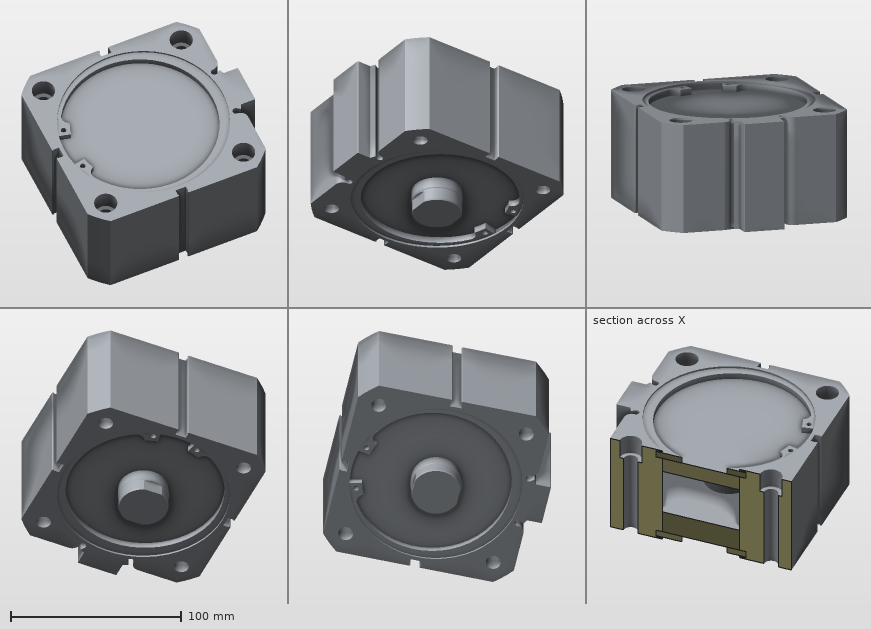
import cadquery as cq
import math

BODY_SIDE = 115.0
BODY_HEIGHT = 65.0
CORNER_RADIUS = 74.4
OVERALL_Y = 124.0

BOLT_SPACING = 88.9
BOLT_HOLE_DIAMETER = 8.8
COUNTERBORE_DIAMETER = 13.6
COUNTERBORE_DEPTH = 12.4

SLOT_DEPTH = 4.5
SLOT_WIDTH = 6.7
SLOT_LIP = 0.9
SLOT_MOUTH = 5.5
SLOT_MOUTH_CHAMFER = 0.5

RAIL_WIDTH = 24.8
RAIL_EDGE_CHAMFER = 0.4
RAIL_BARB_X = 15.4
RAIL_BARB_DROP = 1.6
RELIEF_X = 15.4
RELIEF_RADIUS = 2.0
RELIEF_TANGENT_ANGLE = 150
SHOULDER_RADIUS = 4.8

BORE_RADIUS = 50.8
GROOVE_RADIUS = 52.8
GROOVE_INSET = 1.2
GROOVE_WIDTH = 4.2
RING_THICKNESS = 4.0

RING_INNER_RADIUS = 46.7
RING_INNER_OFFSET = 2.2
RING_GAP_HALF_ANGLE = 12.8
LUG_INNER_RADIUS = 43.4
LUG_RELIEF_RADIUS = 4.8
LUG_RELIEF_ANGLE = 31.4
LUG_HOLE_RADIUS = 47.2
LUG_HOLE_ANGLE = 17.3
LUG_HOLE_DIAMETER = 3.2
HEAD_RING_TURN = -0.75

HEAD_COVER_THICKNESS = 9.9
ROD_COVER_THICKNESS = 14.9

ROD_RADIUS = 15.0
ROD_FULL_LENGTH = 1.4
ROD_TIP_RADIUS = 14.8
ROD_STEP_HEIGHT = 0.43
ROD_EXTENSION = 10.0
ROD_FLAT_DISTANCE = 13.5
ROD_FLAT_LENGTH = 7.2
ROD_FLAT_RUNOUT_ANGLE = 30
ROD_CHAMFER_HEIGHT = 0.9
ROD_CHAMFER_WIDTH = 0.31

HALF_SIDE = BODY_SIDE / 2
CORNER_FLAT = math.sqrt(CORNER_RADIUS**2 - HALF_SIDE**2)
RAIL_TOP = OVERALL_Y - HALF_SIDE
COVER_INSET = GROOVE_INSET + GROOVE_WIDTH
HEAD_COVER_BOTTOM = BODY_HEIGHT - COVER_INSET - HEAD_COVER_THICKNESS


def polar(radius, angle, center=(0, 0)):
    """Point at an angle in degrees, counter-clockwise from +X."""
    turn = math.radians(angle)
    return (center[0] + radius * math.cos(turn), center[1] + radius * math.sin(turn))


def cylinder(radius, bottom, height):
    return cq.Workplane("XY").workplane(offset=bottom).circle(radius).extrude(height)


def rail_side(side):
    """Undercut and rail flank from the housing face up to the rail, at X sign `side`."""
    relief_y = HALF_SIDE - SHOULDER_RADIUS
    relief = (RELIEF_X, relief_y)
    wall_x = RELIEF_X + RELIEF_RADIUS
    shoulder = (wall_x + SHOULDER_RADIUS, relief_y)
    points = {
        "shoulder_top": (shoulder[0], HALF_SIDE),
        "shoulder_middle": polar(SHOULDER_RADIUS, 135, shoulder),
        "wall": (wall_x, relief_y),
        "relief_bottom": (RELIEF_X, relief_y - RELIEF_RADIUS),
        "relief_end": polar(RELIEF_RADIUS, RELIEF_TANGENT_ANGLE, relief),
        "barb": (RAIL_BARB_X, HALF_SIDE - RAIL_BARB_DROP),
        "rail_foot": (RAIL_WIDTH / 2, HALF_SIDE),
        "rail_side_top": (RAIL_WIDTH / 2, RAIL_TOP - RAIL_EDGE_CHAMFER),
        "rail_top": (RAIL_WIDTH / 2 - RAIL_EDGE_CHAMFER, RAIL_TOP),
    }
    return {name: (side * x, y) for name, (x, y) in points.items()}


def housing_blank():
    right = rail_side(1)
    left = rail_side(-1)
    corner_middle = [polar(CORNER_RADIUS, angle) for angle in (45, 135, 225, 315)]
    return (
        cq.Workplane("XY")
        .moveTo(HALF_SIDE, CORNER_FLAT)
        .threePointArc(corner_middle[0], (CORNER_FLAT, HALF_SIDE))
        .lineTo(*right["shoulder_top"])
        .threePointArc(right["shoulder_middle"], right["wall"])
        .threePointArc(right["relief_bottom"], right["relief_end"])
        .lineTo(*right["barb"])
        .lineTo(*right["rail_foot"])
        .lineTo(*right["rail_side_top"])
        .lineTo(*right["rail_top"])
        .lineTo(*left["rail_top"])
        .lineTo(*left["rail_side_top"])
        .lineTo(*left["rail_foot"])
        .lineTo(*left["barb"])
        .lineTo(*left["relief_end"])
        .threePointArc(left["relief_bottom"], left["wall"])
        .threePointArc(left["shoulder_middle"], left["shoulder_top"])
        .lineTo(-CORNER_FLAT, HALF_SIDE)
        .threePointArc(corner_middle[1], (-HALF_SIDE, CORNER_FLAT))
        .lineTo(-HALF_SIDE, -CORNER_FLAT)
        .threePointArc(corner_middle[2], (-CORNER_FLAT, -HALF_SIDE))
        .lineTo(CORNER_FLAT, -HALF_SIDE)
        .threePointArc(corner_middle[3], (HALF_SIDE, -CORNER_FLAT))
        .close()
        .extrude(BODY_HEIGHT)
    )


def sensor_slot(angle):
    """Lipped slot along Z, cut into the side that faces `angle`."""
    floor_x = HALF_SIDE - SLOT_DEPTH
    lip_x = HALF_SIDE - SLOT_LIP
    chamfer_x = HALF_SIDE - SLOT_MOUTH_CHAMFER
    half_mouth = SLOT_MOUTH / 2
    upper_half = [
        (floor_x, SLOT_WIDTH / 2),
        (lip_x, SLOT_WIDTH / 2),
        (lip_x, half_mouth),
        (chamfer_x, half_mouth),
        (HALF_SIDE, half_mouth + SLOT_MOUTH_CHAMFER),
    ]
    lower_half = [(x, -y) for x, y in reversed(upper_half)]
    slot = cq.Workplane("XY").polyline(upper_half + lower_half).close().extrude(BODY_HEIGHT)
    return slot.rotate((0, 0, 0), (0, 0, 1), angle)


def make_housing():
    housing = housing_blank()
    for angle in (0, 180, 270):
        housing = housing.cut(sensor_slot(angle))
    housing = (
        housing.faces(">Z")
        .workplane(origin=(0, 0, BODY_HEIGHT))
        .rect(BOLT_SPACING, BOLT_SPACING, forConstruction=True)
        .vertices()
        .cboreHole(BOLT_HOLE_DIAMETER, COUNTERBORE_DIAMETER, COUNTERBORE_DEPTH)
    )
    housing = housing.cut(cylinder(BORE_RADIUS, 0, BODY_HEIGHT))
    for bottom in (GROOVE_INSET, BODY_HEIGHT - COVER_INSET):
        housing = housing.cut(cylinder(GROOVE_RADIUS, bottom, GROOVE_WIDTH))
    return housing


def sector(radius, half_angle):
    """Pie slice about -Y, as thick as the ring."""
    return (
        cq.Workplane("XY")
        .lineTo(*polar(radius, 270 - half_angle))
        .threePointArc((0, -radius), polar(radius, 270 + half_angle))
        .close()
        .extrude(RING_THICKNESS)
    )


def make_retaining_ring(bottom, turn):
    """Open ring with two drilled lugs beside a gap at -Y."""
    inner_center = (0, -RING_INNER_OFFSET)
    relief_distance = RING_INNER_RADIUS - LUG_RELIEF_RADIUS
    relief_centers = [
        polar(relief_distance, 270 + side * LUG_RELIEF_ANGLE, inner_center) for side in (-1, 1)
    ]
    hole_centers = [polar(LUG_HOLE_RADIUS, 270 + side * LUG_HOLE_ANGLE) for side in (-1, 1)]
    relief_x, relief_y = relief_centers[1]
    lug_half_angle = math.degrees(math.atan2(relief_x, -relief_y))

    ring = (
        cq.Workplane("XY")
        .circle(GROOVE_RADIUS)
        .moveTo(*inner_center)
        .circle(RING_INNER_RADIUS)
        .extrude(RING_THICKNESS)
    )
    lugs = sector(GROOVE_RADIUS, lug_half_angle).cut(cylinder(LUG_INNER_RADIUS, 0, RING_THICKNESS))
    notches = cq.Workplane("XY").pushPoints(relief_centers).circle(LUG_RELIEF_RADIUS).extrude(RING_THICKNESS)
    holes = cq.Workplane("XY").pushPoints(hole_centers).circle(LUG_HOLE_DIAMETER / 2).extrude(RING_THICKNESS)
    gap = sector(GROOVE_RADIUS, RING_GAP_HALF_ANGLE)
    ring = ring.union(lugs).cut(notches).cut(holes).cut(gap)
    return ring.rotate((0, 0, 0), (0, 0, 1), turn).translate((0, 0, bottom))


def make_head_cover():
    return cylinder(BORE_RADIUS, HEAD_COVER_BOTTOM, HEAD_COVER_THICKNESS)


def make_rod_cover():
    cover = cylinder(BORE_RADIUS, COVER_INSET, ROD_COVER_THICKNESS)
    return cover.cut(cylinder(ROD_RADIUS, COVER_INSET, ROD_COVER_THICKNESS))


def wrench_flat_cut(side):
    """Flat on the +Y or -Y side, with a sloped runout at its upper end."""
    outer = ROD_RADIUS
    flat_top = ROD_FLAT_LENGTH - ROD_EXTENSION
    runout_slope = math.tan(math.radians(ROD_FLAT_RUNOUT_ANGLE))
    runout_top = flat_top + (outer - ROD_FLAT_DISTANCE) * runout_slope
    return (
        cq.Workplane("YZ")
        .moveTo(side * ROD_FLAT_DISTANCE, -ROD_EXTENSION)
        .lineTo(side * ROD_FLAT_DISTANCE, flat_top)
        .lineTo(side * outer, runout_top)
        .lineTo(side * outer, -ROD_EXTENSION)
        .close()
        .extrude(ROD_RADIUS, both=True)
    )


def make_piston_rod():
    """Rod from the head cover down to its stepped, flatted and chamfered end."""
    rod = (
        cq.Workplane("XZ")
        .moveTo(0, -ROD_EXTENSION)
        .lineTo(ROD_TIP_RADIUS - ROD_CHAMFER_WIDTH, -ROD_EXTENSION)
        .lineTo(ROD_TIP_RADIUS, ROD_CHAMFER_HEIGHT - ROD_EXTENSION)
        .lineTo(ROD_TIP_RADIUS, -ROD_FULL_LENGTH - ROD_STEP_HEIGHT)
        .lineTo(ROD_RADIUS, -ROD_FULL_LENGTH)
        .lineTo(ROD_RADIUS, HEAD_COVER_BOTTOM)
        .lineTo(0, HEAD_COVER_BOTTOM)
        .close()
        .revolve(360, (0, 0, 0), (0, 1, 0))
    )
    for side in (-1, 1):
        rod = rod.cut(wrench_flat_cut(side))
    return rod


housing = make_housing()
head_cover = make_head_cover()
rod_cover = make_rod_cover()
piston_rod = make_piston_rod()
ring_places = [(COVER_INSET - RING_THICKNESS, 0), (BODY_HEIGHT - COVER_INSET, HEAD_RING_TURN)]
rings = [make_retaining_ring(bottom, turn) for bottom, turn in ring_places]

result = cq.Compound.makeCompound(
    [housing.val(), head_cover.val(), rod_cover.val(), piston_rod.val(), *[ring.val() for ring in rings]]
)